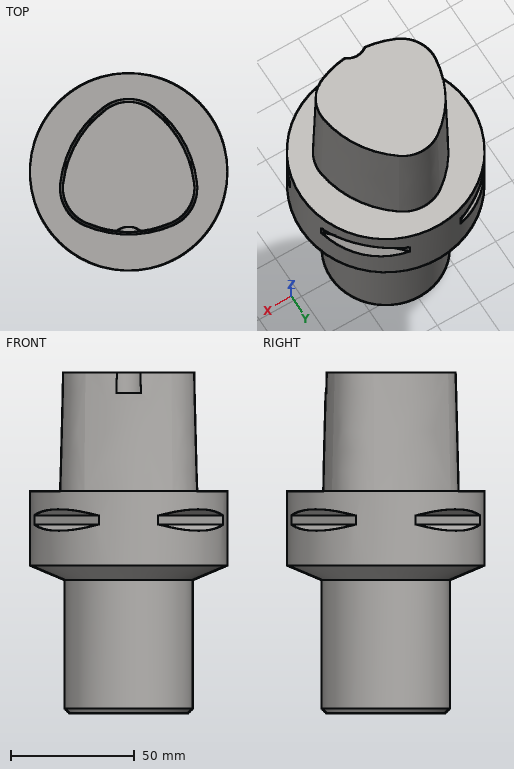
import cadquery as cq
import math

TOTAL_HEIGHT = 138.0
CONE_BOTTOM = 54.0
COLLAR_BOTTOM = 59.9
COLLAR_TOP = 90.0

SHANK_RADIUS = 52.0 / 2
COLLAR_RADIUS = 80.0 / 2
SHANK_CHAMFER = 2.1

LOBE_TIP_DISTANCE = 29.5
FLANK_DISTANCE = 25.4
LOBE_RADIUS = 16.5
TAPER_PER_SIDE = 1 / 40

KEYWAY_RADIUS = 7.5
KEYWAY_INNER_Y = -22.2
KEYWAY_WIDTH = 9.8
KEYWAY_DEPTH = 8.3

NOTCH_FLOOR_DISTANCE = 35.5
NOTCH_FLOOR_HEIGHT = 3.5
NOTCH_CENTER_Z = 78.2
NOTCH_SIDE_ANGLE = 30.0
NOTCH_CLEARANCE = 1.4
NOTCH_ANGLES = (45, 135, 225, 315)


def polar(radius, angle):
    """Point in the XY plane at an angle in degrees from +X."""
    turn = math.radians(angle)
    return radius * math.cos(turn), radius * math.sin(turn)


def make_body():
    """Chamfered shank, conical shoulder and collar, revolved about Z."""
    half_section = [
        (0, 0),
        (SHANK_RADIUS - SHANK_CHAMFER, 0),
        (SHANK_RADIUS, SHANK_CHAMFER),
        (SHANK_RADIUS, CONE_BOTTOM),
        (COLLAR_RADIUS, COLLAR_BOTTOM),
        (COLLAR_RADIUS, COLLAR_TOP),
        (0, COLLAR_TOP),
    ]
    return cq.Workplane("XZ").polyline(half_section).close().revolve(360, (0, 0), (0, 1))


def make_taper():
    """Tapered trilobe bounded by tangent lobe arcs and flank arcs."""
    lobe_center = LOBE_TIP_DISTANCE - LOBE_RADIUS
    tangent_gap = FLANK_DISTANCE - LOBE_RADIUS
    flank_center = (lobe_center**2 - tangent_gap**2) / (2 * tangent_gap - lobe_center)
    tangent_angle = 60 - math.degrees(
        math.atan2(
            lobe_center * math.sin(math.radians(60)),
            flank_center + lobe_center * math.cos(math.radians(60)),
        )
    )

    def tangent_point(lobe_angle, side):
        center_x, center_y = polar(lobe_center, lobe_angle)
        offset_x, offset_y = polar(LOBE_RADIUS, lobe_angle + side * tangent_angle)
        return center_x + offset_x, center_y + offset_y

    outline = cq.Workplane("XY", origin=(0, 0, COLLAR_TOP)).moveTo(*tangent_point(90, -1))
    for lobe_angle in (90, 210, 330):
        outline = outline.threePointArc(
            polar(LOBE_TIP_DISTANCE, lobe_angle), tangent_point(lobe_angle, 1)
        )
        outline = outline.threePointArc(
            polar(FLANK_DISTANCE, lobe_angle + 60), tangent_point(lobe_angle + 120, -1)
        )
    taper_angle = math.degrees(math.atan(TAPER_PER_SIDE))
    return outline.close().extrude(TOTAL_HEIGHT - COLLAR_TOP, taper=taper_angle)


def make_keyway():
    """Cutter with parallel sides and a curved back, open at the top end of the taper."""
    half_width = KEYWAY_WIDTH / 2
    arc_center_y = KEYWAY_INNER_Y - KEYWAY_RADIUS
    arc_end_y = arc_center_y + math.sqrt(KEYWAY_RADIUS**2 - half_width**2)
    return (
        cq.Workplane("XY", origin=(0, 0, TOTAL_HEIGHT - KEYWAY_DEPTH))
        .moveTo(-half_width, arc_center_y)
        .lineTo(-half_width, arc_end_y)
        .threePointArc((0, KEYWAY_INNER_Y), (half_width, arc_end_y))
        .lineTo(half_width, arc_center_y)
        .close()
        .extrude(KEYWAY_DEPTH)
    )


def make_notch(angle):
    """Trapezoidal groove cutter crossing the collar rim at the given angle."""
    outer_distance = COLLAR_RADIUS + NOTCH_CLEARANCE
    flare = (outer_distance - NOTCH_FLOOR_DISTANCE) * math.tan(math.radians(NOTCH_SIDE_ANGLE))
    floor_bottom = NOTCH_CENTER_Z - NOTCH_FLOOR_HEIGHT / 2
    floor_top = NOTCH_CENTER_Z + NOTCH_FLOOR_HEIGHT / 2
    section = [
        (NOTCH_FLOOR_DISTANCE, floor_bottom),
        (outer_distance, floor_bottom - flare),
        (outer_distance, floor_top + flare),
        (NOTCH_FLOOR_DISTANCE, floor_top),
    ]
    cutter = cq.Workplane("XZ").polyline(section).close().extrude(COLLAR_RADIUS, both=True)
    return cutter.rotate((0, 0, 0), (0, 0, 1), angle)


result = make_body().union(make_taper()).cut(make_keyway())
for notch_angle in NOTCH_ANGLES:
    result = result.cut(make_notch(notch_angle))